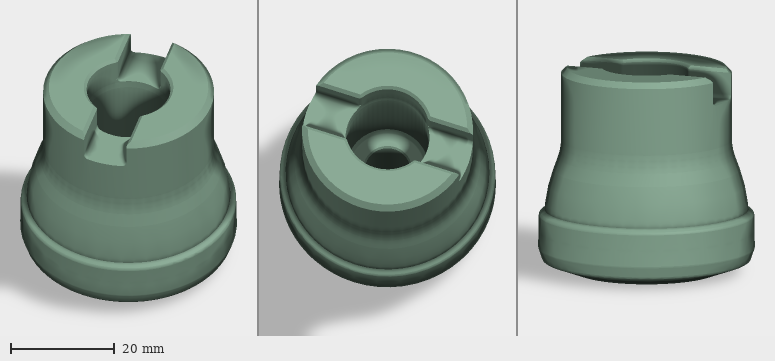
import cadquery as cq
import math


total_height = 40.0
neck_radius = 33.0 / 2
neck_bottom_z = 25.8
neck_top_chamfer = 1.1
flare_angle = math.radians(20.0)
neck_blend_radius = 10.0
dome_arc_radius = 29.0
dome_radius = 39.5 / 2
seat_z = 8.0

mouth_radius = 16.2 / 2
mouth_chamfer = 0.55
lead_in_top_z = 34.15
lead_in_bottom_z = 32.85
bore_radius = 16.0 / 2
floor_z = 14.0
floor_radius = 7.25
floor_cone_angle = math.radians(59.0)
floor_fillet = 0.45
hole_radius = 8.75 / 2
hole_chamfer = 0.35

slot_width = 8.5
slot_floor_z = 34.3
slot_corner_radius = 0.8
slot_mouth_chamfer = 0.65
slot_entry_radius = 0.8

bottom_radius = 14.0
underside_angle = math.radians(20.0)
lower_side_angle = math.radians(18.0)
rim_draft_angle = math.radians(1.0)
rim_top_angle = math.radians(35.0)
rim_top_radius = 19.3
rim_top_z = 12.35
widest_radius = 20.925
widest_z = 4.65
rim_top_round = 0.65
widest_round = 0.9
lower_round = 0.8


def line_crossing(point_a, slope_a, point_b, slope_b):
    """Point (r, z) where two lines meet; each slope is the change of r per unit of z."""
    z = (point_b[0] - point_a[0] + slope_a * point_a[1] - slope_b * point_b[1]) / (slope_a - slope_b)
    return point_a[0] + slope_a * (z - point_a[1]), z


def on_arc(center, radius, angle):
    return center[0] + radius * math.cos(angle), center[1] + radius * math.sin(angle)


def revolved(profile):
    return profile.close().revolve(360, (0, 0, 0), (0, 1, 0))


def round_edge(body, corner, fillet_radius):
    """Fillet the circular edge that passes through the profile corner (r, z)."""
    radius, z = corner
    seam_point = cq.Vector(radius, 0, z)
    edge = min(body.edges("%CIRCLE").vals(), key=lambda e: (e.startPoint() - seam_point).Length)
    return body.newObject([edge]).fillet(fillet_radius)


def build_hub_blank():
    blend_center = (neck_radius + neck_blend_radius, neck_bottom_z)
    blend_end = on_arc(blend_center, neck_blend_radius, math.pi + flare_angle)
    blend_middle = on_arc(blend_center, neck_blend_radius, math.pi + flare_angle / 2)

    cone_end_radius = dome_radius - dome_arc_radius * (1 - math.cos(flare_angle))
    cone_end_z = blend_end[1] - (cone_end_radius - blend_end[0]) / math.tan(flare_angle)
    dome_center = (dome_radius - dome_arc_radius, cone_end_z - dome_arc_radius * math.sin(flare_angle))
    dome_middle = on_arc(dome_center, dome_arc_radius, flare_angle / 2)

    floor_cone_top_z = floor_z + (bore_radius - floor_radius) / math.tan(floor_cone_angle)

    profile = (
        cq.Workplane("XZ")
        .moveTo(hole_radius, seat_z)
        .lineTo(dome_radius, seat_z)
        .lineTo(dome_radius, dome_center[1])
        .threePointArc(dome_middle, (cone_end_radius, cone_end_z))
        .lineTo(*blend_end)
        .threePointArc(blend_middle, (neck_radius, neck_bottom_z))
        .lineTo(neck_radius, total_height - neck_top_chamfer)
        .lineTo(neck_radius - neck_top_chamfer, total_height)
        .lineTo(mouth_radius + mouth_chamfer, total_height)
        .lineTo(mouth_radius, total_height - mouth_chamfer)
        .lineTo(mouth_radius, lead_in_top_z)
        .lineTo(bore_radius, lead_in_bottom_z)
        .lineTo(bore_radius, floor_cone_top_z)
        .lineTo(floor_radius, floor_z)
        .lineTo(hole_radius + hole_chamfer, floor_z)
        .lineTo(hole_radius, floor_z - hole_chamfer)
    )
    return round_edge(revolved(profile), (floor_radius, floor_z), floor_fillet)


def slot_box(bottom_z, top_z):
    """Block as wide as the slot, spanning the whole hub along Y."""
    return cq.Workplane("XY", origin=(0, 0, bottom_z)).box(
        slot_width, 2 * dome_radius, top_z - bottom_z, centered=(True, True, False)
    )


def cut_slot(hub):
    half = slot_width / 2
    corner_top_z = slot_floor_z + slot_corner_radius

    hub = hub.cut(slot_box(corner_top_z, total_height))
    entry_edges = cq.selectors.BoxSelector(
        (-mouth_radius, -mouth_radius, corner_top_z), (mouth_radius, mouth_radius, total_height)
    )
    hub = hub.edges("|Z").edges(entry_edges).fillet(slot_entry_radius)

    channel = slot_box(slot_floor_z, total_height).edges("|Y and <Z").fillet(slot_corner_radius)
    hub = hub.cut(channel)

    mouth = (
        cq.Workplane("XZ", origin=(0, dome_radius, 0))
        .moveTo(-half - slot_mouth_chamfer, total_height)
        .lineTo(half + slot_mouth_chamfer, total_height)
        .lineTo(half, total_height - slot_mouth_chamfer)
        .lineTo(-half, total_height - slot_mouth_chamfer)
        .close()
        .extrude(2 * dome_radius)
    )
    return hub.cut(mouth)


def build_base(hub):
    widest = (widest_radius, widest_z)
    rim_top = (rim_top_radius, rim_top_z)
    lower_corner = line_crossing(
        widest, math.tan(lower_side_angle), (bottom_radius, 0), 1 / math.tan(underside_angle)
    )
    rim_corner = line_crossing(
        widest, -math.tan(rim_draft_angle), rim_top, -1 / math.tan(rim_top_angle)
    )
    profile = (
        cq.Workplane("XZ")
        .moveTo(hole_radius, 0)
        .lineTo(bottom_radius, 0)
        .lineTo(*lower_corner)
        .lineTo(*widest)
        .lineTo(*rim_corner)
        .lineTo(*rim_top)
        .lineTo(hole_radius, rim_top[1])
    )
    base = revolved(profile)
    base = round_edge(base, lower_corner, lower_round)
    base = round_edge(base, widest, widest_round)
    base = round_edge(base, rim_corner, rim_top_round)
    return base.cut(hub)


hub = cut_slot(build_hub_blank())
base = build_base(hub)

result = cq.Compound.makeCompound([hub.val(), base.val()])